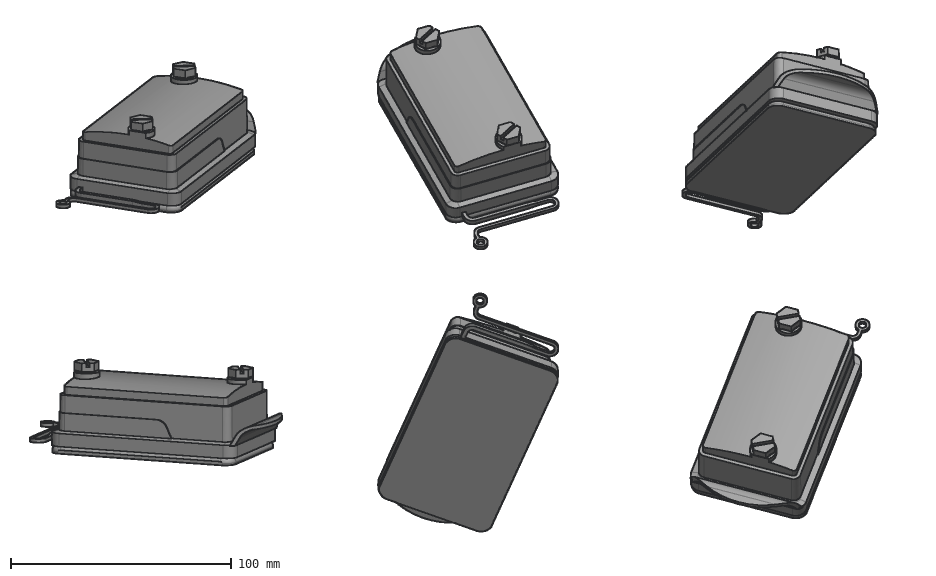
import cadquery as cq
import math


OVERALL_LENGTH = 123.4

GASKET_WIDTH = 54.8
GASKET_LENGTH = 89.5
GASKET_HEIGHT = 3.3
GASKET_CORNER = 5.5
GASKET_ROUNDING = 2.3
GASKET_SIDE_TRIM = 0.1
GASKET_SHIFT = -0.43

FLANGE_WIDTH = GASKET_WIDTH
FLANGE_LENGTH = 90.4
FLANGE_CORNER = 4.9
FLANGE_EDGE_Z = 9.4
FLANGE_TOP_Z = 10.2

BODY_WIDTH = 48.5
BEVEL_WIDTH = (FLANGE_WIDTH - BODY_WIDTH) / 2
BODY_LENGTH = FLANGE_LENGTH - 2 * BEVEL_WIDTH
BODY_CORNER = 3.5
BODY_TOP_Z = 26.5
DRAFT_ANGLE = 0.6
WALL_RAISE = 0.4
WALL_TOP_Z = 18.4
WALL_FOOT_Y = 14.2
WALL_BEND_RADIUS = 5.5

ROOF_WIDTH = 44.7
ROOF_LENGTH = 80.0
ROOF_CORNER = 1.6
ROOF_EDGE_Z = 30.2
ROOF_CROWN_Z = 32.7

SEAT_X = 5.4
SEAT_Y = 35.5
SEAT_RADIUS = 6.0
SEAT_TOP_Z = 34.7
SCREW_PLACES = [(-SEAT_X, SEAT_Y), (SEAT_X, -SEAT_Y)]

NECK_RADIUS = 4.3
NECK_HEIGHT = 0.6
HEAD_ACROSS_FLATS = 9.9
SCREW_TOP_Z = 39.3
SLOT_WIDTH = 1.5
SLOT_DEPTH = 1.9
SLOT_ANGLE = 30

RAMP_ANGLE = 65
TAB_TIP_Y = 55.2
TAB_TOP_Z = 17.3
TAB_THICKNESS = 1.7
TAB_FOOT_Y = 43.5
TAB_BEND_RADIUS = 6.4
TAB_PLAN_RADIUS = 36.4

STRAP_SIDE_X = -19.5
STRAP_RUN_Y = -50.1
STRAP_BEND = 3.1
THICK_WIDTH = 2.0
THICK_HEIGHT = 2.3
THIN_WIDTH = 1.6
THIN_HEIGHT = 1.7
TRANSITION_START_X = 8.4
TRANSITION_END_X = 13.0
LOOP_X = 18.4
LOOP_RADIUS = 3.0
EYE_RADIUS = 3.2
EYE_HOLE_RADIUS = 1.7


def rounded_block(width, length, corner, bottom_z, top_z, taper=0.0):
    outline = cq.Sketch().rect(width, length).vertices().fillet(corner)
    base = cq.Workplane("XY").workplane(offset=bottom_z).placeSketch(outline)
    return base.extrude(top_z - bottom_z, taper=taper)


def ramp_run(rise, radius):
    """Horizontal length of a ramp that bends tangentially into a flat top."""
    angle = math.radians(RAMP_ANGLE)
    straight_rise = rise - radius * (1 - math.cos(angle))
    return radius * math.sin(angle) + straight_rise / math.tan(angle)


def bend_point(flat_y, flat_z, radius, turn, side):
    """Point on a bend that starts level at (flat_y, flat_z) and turns downwards towards side."""
    angle = math.radians(turn)
    return (flat_y + side * radius * math.sin(angle), flat_z - radius * (1 - math.cos(angle)))


def make_flange():
    bevel_angle = math.degrees(math.atan(BEVEL_WIDTH / (FLANGE_TOP_Z - FLANGE_EDGE_Z)))
    rim = rounded_block(FLANGE_WIDTH, FLANGE_LENGTH, FLANGE_CORNER, GASKET_HEIGHT, FLANGE_EDGE_Z)
    bevel = rounded_block(
        FLANGE_WIDTH, FLANGE_LENGTH, FLANGE_CORNER, FLANGE_EDGE_Z, FLANGE_TOP_Z, bevel_angle
    )
    return rim.union(bevel)


def make_raised_wall():
    """Lower wall that stands proud of the body and ends in a bent ramp on both long sides."""
    block = rounded_block(
        BODY_WIDTH + 2 * WALL_RAISE, BODY_LENGTH + 2 * WALL_RAISE, BODY_CORNER + WALL_RAISE,
        FLANGE_EDGE_Z, WALL_TOP_Z, DRAFT_ANGLE,
    )
    flat_y = WALL_FOOT_Y - ramp_run(WALL_TOP_Z - FLANGE_EDGE_Z, WALL_BEND_RADIUS)
    side_profile = (
        cq.Workplane("YZ")
        .moveTo(-BODY_LENGTH, FLANGE_EDGE_Z)
        .lineTo(WALL_FOOT_Y, FLANGE_EDGE_Z)
        .lineTo(*bend_point(flat_y, WALL_TOP_Z, WALL_BEND_RADIUS, RAMP_ANGLE, 1))
        .threePointArc(
            bend_point(flat_y, WALL_TOP_Z, WALL_BEND_RADIUS, RAMP_ANGLE / 2, 1), (flat_y, WALL_TOP_Z)
        )
        .lineTo(-BODY_LENGTH, WALL_TOP_Z)
        .close()
        .extrude(BODY_WIDTH, both=True)
    )
    return block.intersect(side_profile)


def make_roof():
    block = rounded_block(ROOF_WIDTH, ROOF_LENGTH, ROOF_CORNER, BODY_TOP_Z, ROOF_CROWN_Z)
    arch = (
        cq.Workplane("XZ")
        .moveTo(-ROOF_WIDTH / 2, BODY_TOP_Z)
        .lineTo(-ROOF_WIDTH / 2, ROOF_EDGE_Z)
        .threePointArc((0, ROOF_CROWN_Z), (ROOF_WIDTH / 2, ROOF_EDGE_Z))
        .lineTo(ROOF_WIDTH / 2, BODY_TOP_Z)
        .close()
        .extrude(ROOF_LENGTH, both=True)
    )
    return block.intersect(arch)


def make_seats():
    """Round screw seats, cut flush with the end walls of the roof."""
    seats = (
        cq.Workplane("XY")
        .workplane(offset=BODY_TOP_Z)
        .pushPoints(SCREW_PLACES)
        .circle(SEAT_RADIUS)
        .extrude(SEAT_TOP_Z - BODY_TOP_Z)
    )
    limits = rounded_block(ROOF_WIDTH, ROOF_LENGTH, ROOF_CORNER, BODY_TOP_Z, SEAT_TOP_Z)
    return seats.intersect(limits)


def make_tab():
    """Bent sheet that climbs out of the flange and ends in a level lip with a round outline."""
    inner_radius = TAB_BEND_RADIUS - TAB_THICKNESS
    underside_z = TAB_TOP_Z - TAB_THICKNESS
    flat_y = TAB_FOOT_Y + ramp_run(TAB_TOP_Z - FLANGE_EDGE_Z, TAB_BEND_RADIUS)
    flange_end_y = FLANGE_LENGTH / 2
    lower_bend = bend_point(flat_y, underside_z, inner_radius, RAMP_ANGLE, -1)
    lower_foot_z = lower_bend[1] - (lower_bend[0] - flange_end_y) * math.tan(math.radians(RAMP_ANGLE))
    sheet = (
        cq.Workplane("YZ")
        .moveTo(TAB_FOOT_Y, FLANGE_EDGE_Z)
        .lineTo(*bend_point(flat_y, TAB_TOP_Z, TAB_BEND_RADIUS, RAMP_ANGLE, -1))
        .threePointArc(
            bend_point(flat_y, TAB_TOP_Z, TAB_BEND_RADIUS, RAMP_ANGLE / 2, -1), (flat_y, TAB_TOP_Z)
        )
        .lineTo(TAB_TIP_Y, TAB_TOP_Z)
        .lineTo(TAB_TIP_Y, underside_z)
        .lineTo(flat_y, underside_z)
        .threePointArc(bend_point(flat_y, underside_z, inner_radius, RAMP_ANGLE / 2, -1), lower_bend)
        .lineTo(flange_end_y, lower_foot_z)
        .lineTo(TAB_FOOT_Y, lower_foot_z)
        .close()
        .extrude(FLANGE_WIDTH / 2, both=True)
    )
    plan_center_y = TAB_TIP_Y - TAB_PLAN_RADIUS
    outline = cq.Workplane("XY").center(0, plan_center_y).circle(TAB_PLAN_RADIUS).extrude(TAB_TOP_Z)
    return sheet.intersect(outline)


def strap_section(plane, start, width, height):
    """Upright rectangular strap section standing on the level of the flange underside."""
    frame = cq.Workplane(plane, origin=(*start, GASKET_HEIGHT + height / 2))
    return frame.rect(width, height)


def make_strap():
    root_x = STRAP_SIDE_X - THICK_WIDTH / 2
    root_y = STRAP_RUN_Y - THICK_WIDTH / 2
    root_start = (root_x, -FLANGE_LENGTH / 2)
    root_path = (
        cq.Workplane("XY")
        .moveTo(*root_start)
        .lineTo(root_x, root_y + STRAP_BEND)
        .tangentArcPoint((root_x + STRAP_BEND, root_y), relative=False)
        .lineTo(TRANSITION_START_X, root_y)
    )
    root = strap_section("XZ", root_start, THICK_WIDTH, THICK_HEIGHT).sweep(root_path)

    thin_y = STRAP_RUN_Y - THIN_WIDTH / 2
    transition = (
        strap_section("YZ", (TRANSITION_START_X, root_y), THICK_WIDTH, THICK_HEIGHT)
        .workplane(offset=TRANSITION_END_X - TRANSITION_START_X)
        .center((THICK_WIDTH - THIN_WIDTH) / 2, (THIN_HEIGHT - THICK_HEIGHT) / 2)
        .rect(THIN_WIDTH, THIN_HEIGHT)
        .loft(ruled=True)
    )

    return_y = thin_y - 2 * LOOP_RADIUS
    stem_x = STRAP_SIDE_X - THIN_WIDTH / 2
    eye_y = TAB_TIP_Y - OVERALL_LENGTH + EYE_RADIUS
    thin_start = (TRANSITION_END_X, thin_y)
    thin_path = (
        cq.Workplane("XY")
        .moveTo(*thin_start)
        .lineTo(LOOP_X, thin_y)
        .threePointArc((LOOP_X + LOOP_RADIUS, thin_y - LOOP_RADIUS), (LOOP_X, return_y))
        .lineTo(stem_x + STRAP_BEND, return_y)
        .tangentArcPoint((stem_x, return_y - STRAP_BEND), relative=False)
        .lineTo(stem_x, eye_y)
    )
    thin = strap_section("YZ", thin_start, THIN_WIDTH, THIN_HEIGHT).sweep(thin_path)

    eye_plane = cq.Workplane("XY", origin=(stem_x, eye_y, GASKET_HEIGHT))
    eye = eye_plane.circle(EYE_RADIUS).extrude(THIN_HEIGHT)
    hole = eye_plane.circle(EYE_HOLE_RADIUS).extrude(THIN_HEIGHT)
    return root.union(transition).union(thin).union(eye).cut(hole)


def make_cover():
    body = rounded_block(BODY_WIDTH, BODY_LENGTH, BODY_CORNER, FLANGE_TOP_Z, BODY_TOP_Z, DRAFT_ANGLE)
    cover = make_flange().union(body)
    for feature in (make_raised_wall(), make_roof(), make_seats(), make_tab(), make_strap()):
        cover = cover.union(feature)
    return cover


def make_gasket():
    """Slab with a rounded upper edge, trimmed flat along both long sides."""
    full_width = GASKET_WIDTH + 2 * GASKET_SIDE_TRIM
    slab = rounded_block(full_width, GASKET_LENGTH, GASKET_CORNER, 0, GASKET_HEIGHT)
    slab = slab.faces(">Z").edges().fillet(GASKET_ROUNDING)
    trim_limits = cq.Workplane("XY").box(GASKET_WIDTH, GASKET_LENGTH, 2 * GASKET_HEIGHT)
    return slab.intersect(trim_limits).translate((0, GASKET_SHIFT, 0))


def make_screw(x, y):
    head_z = SEAT_TOP_Z + NECK_HEIGHT
    head_diameter = HEAD_ACROSS_FLATS / math.cos(math.pi / 6)
    neck = cq.Workplane("XY").workplane(offset=SEAT_TOP_Z).circle(NECK_RADIUS).extrude(NECK_HEIGHT)
    head = cq.Workplane("XY").workplane(offset=head_z).polygon(6, head_diameter).extrude(SCREW_TOP_Z - head_z)
    slot = (
        cq.Workplane("XY")
        .workplane(offset=SCREW_TOP_Z - SLOT_DEPTH)
        .rect(2 * head_diameter, SLOT_WIDTH)
        .extrude(SLOT_DEPTH)
        .rotate((0, 0, 0), (0, 0, 1), SLOT_ANGLE)
    )
    return neck.union(head).cut(slot).translate((x, y, 0))


cover = make_cover()
gasket = make_gasket()
screws = [make_screw(x, y) for x, y in SCREW_PLACES]

result = cq.Compound.makeCompound([cover.val(), gasket.val(), *(screw.val() for screw in screws)])